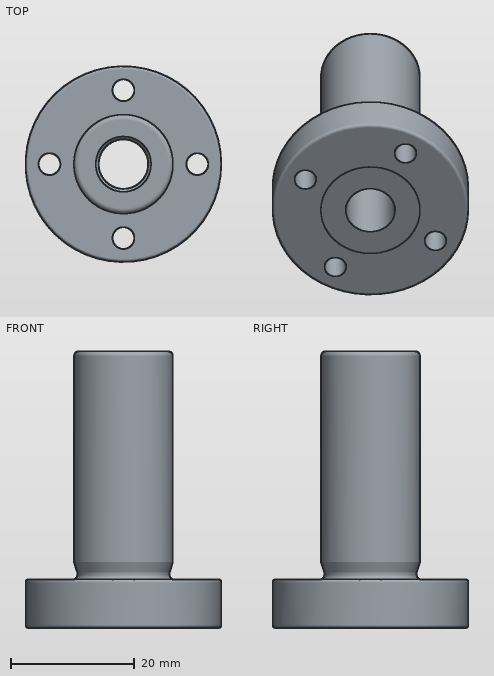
import cadquery as cq
import math

total_height = 44.85
bore_radius = 4.0

flange_radius = 15.88
flange_thickness = 7.9
flange_rounding = 0.5
screw_hole_radius = 1.75
screw_circle_radius = 11.97
screw_count = 4

sleeve_radius = 8.05
sleeve_top_rounding = 0.8
lead_in_width = 0.5
lead_in_depth = 0.8

neck_radius = 7.5
flare_height = 0.75
neck_height = 0.3
taper_height = 1.7

flare_top = flange_thickness + flare_height
taper_bottom = flare_top + neck_height
taper_top = taper_bottom + taper_height
lead_in_radius = bore_radius + lead_in_width


def make_flange():
    """Rounded disc with a seat for the sleeve and a circle of screw holes."""
    disc = cq.Workplane("XY").circle(flange_radius).extrude(flange_thickness)
    disc = disc.edges().fillet(flange_rounding)
    seat = cq.Workplane("XY").circle(sleeve_radius).extrude(flange_thickness)
    screw_holes = (
        cq.Workplane("XY")
        .polarArray(screw_circle_radius, 0, 360, screw_count)
        .circle(screw_hole_radius)
        .extrude(flange_thickness)
    )
    return disc.cut(seat).cut(screw_holes)


def make_sleeve():
    """Bored tube standing in the flange, with a relief groove above the flange."""
    rounding_setback = sleeve_top_rounding * (1 - math.sqrt(0.5))
    rounding_mid = (sleeve_radius - rounding_setback, total_height - rounding_setback)
    rounding_end = (sleeve_radius - sleeve_top_rounding, total_height)
    profile = (
        cq.Workplane("XZ")
        .moveTo(bore_radius, 0)
        .lineTo(bore_radius, total_height - lead_in_depth)
        .tangentArcPoint((lead_in_radius, total_height), relative=False)
        .lineTo(*rounding_end)
        .threePointArc(rounding_mid, (sleeve_radius, total_height - sleeve_top_rounding))
        .lineTo(sleeve_radius, taper_top)
        .lineTo(neck_radius, taper_bottom)
        .lineTo(neck_radius, flare_top)
        .tangentArcPoint((sleeve_radius, flange_thickness), relative=False)
        .lineTo(sleeve_radius, 0)
        .close()
    )
    return profile.revolve(360, (0, 0), (0, 1))


flange = make_flange()
sleeve = make_sleeve()
result = cq.Compound.makeCompound([flange.val(), sleeve.val()])